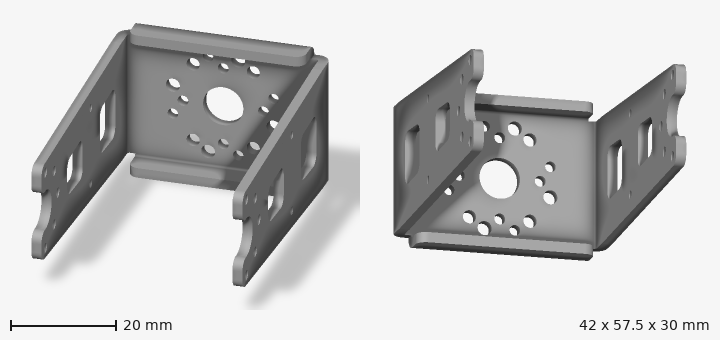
import cadquery as cq
import math

WIDTH = 42.0
LENGTH = 57.5
HEIGHT = 30.0

SHEET = 2.0
BEND_INNER = 0.49
BEND_OUTER = BEND_INNER + SHEET

WEB_HEIGHT = HEIGHT - 2 * BEND_OUTER
WEB_BORE = 8.0

INNER_CIRCLE_RADIUS = 8.0
INNER_HOLE = 2.1
DIAGONAL_X = 6.0
DIAGONAL_Z = 8.0
DIAGONAL_HOLE = 2.6
OUTER_LONG = 10.0
OUTER_SHORT = 3.0
CLEARANCE_HOLE = 2.75
TAPPED_HOLE = 2.05

LIP_WIDTH = 34.95
LIP_DEPTH = 7.0
CORNER_RADIUS = 2.0

TAPER_START = 6.0
TIP_HALF_HEIGHT = 10.0
TAPER_END = LENGTH - CORNER_RADIUS
TAPER_SLOPE = (WEB_HEIGHT / 2 - TIP_HALF_HEIGHT) / (TAPER_END - TAPER_START)

NOTCH_CENTER = 55.0
NOTCH_RADIUS = 4.0
HORN_CIRCLE_RADIUS = 8.0
HORN_HOLE = 2.0
HORN_ANGLES = (90, 135, 180, 225, 270)

WINDOW_LENGTH = 10.0
WINDOW_STARTS = (10.0, 31.0)
WINDOW_MARGIN = 7.0
ARM_TAPPED_DISTANCE = 25.8
ARM_TAPPED_SPREAD = 16.0
ARM_TAPPED_HOLE = 1.6

BACK_Y = LENGTH / 2


def bent_channel(span, height, depth):
    """Channel section, closed at the back: span across, depth along -Y, extruded to height."""
    outer = (
        cq.Workplane("XY")
        .box(span, depth, height)
        .edges("|Z and >Y")
        .fillet(BEND_OUTER)
    )
    inner = (
        cq.Workplane("XY")
        .box(span - 2 * SHEET, depth, height)
        .edges("|Z and >Y")
        .fillet(BEND_INNER)
        .translate((0, -SHEET, 0))
    )
    return outer.cut(inner).translate((0, BACK_Y - depth / 2, 0))


def arm_half_height(distance):
    """Half height of the tapered arm at a distance from the back of the web."""
    return WEB_HEIGHT / 2 - TAPER_SLOPE * (distance - TAPER_START)


def arm_prism(profile):
    """Extrude a (distance, height) outline through both arms."""
    return (
        cq.Workplane("YZ")
        .polyline([(BACK_Y - distance, z) for distance, z in profile])
        .close()
        .extrude(WIDTH / 2, both=True)
    )


def arm_outline():
    """Tapered side outline with a round-bottomed notch between two rounded tips."""
    tip = arm_half_height(LENGTH)
    half = WEB_HEIGHT / 2
    blank = arm_prism(
        [
            (0, half),
            (TAPER_START, half),
            (LENGTH, tip),
            (LENGTH, -tip),
            (TAPER_START, -half),
            (0, -half),
        ]
    )
    notch_round = arm_holes([(NOTCH_CENTER, 0)], 2 * NOTCH_RADIUS)
    notch_mouth = arm_prism(
        [
            (NOTCH_CENTER, NOTCH_RADIUS),
            (LENGTH, NOTCH_RADIUS),
            (LENGTH, -NOTCH_RADIUS),
            (NOTCH_CENTER, -NOTCH_RADIUS),
        ]
    )
    return blank.cut(notch_round).cut(notch_mouth).edges("|X and <Y").fillet(CORNER_RADIUS)


def arm_window(start):
    """Rounded window whose long edges follow the taper of the arm."""
    end = start + WINDOW_LENGTH
    near = arm_half_height(start) - WINDOW_MARGIN
    far = arm_half_height(end) - WINDOW_MARGIN
    window = arm_prism([(start, near), (end, far), (end, -far), (start, -near)])
    return window.edges("|X").fillet(CORNER_RADIUS)


def arm_holes(points, diameter):
    """Round cutters through both arms at (distance, height) points."""
    return (
        cq.Workplane("YZ")
        .pushPoints([(BACK_Y - distance, z) for distance, z in points])
        .circle(diameter / 2)
        .extrude(WIDTH / 2, both=True)
    )


def web_holes(points, diameter):
    """Round cutters through the web at (x, z) points."""
    return (
        cq.Workplane("XZ", origin=(0, BACK_Y, 0))
        .pushPoints(points)
        .circle(diameter / 2)
        .extrude(SHEET)
    )


def lips():
    """Web centre with its two bent lips, free corners rounded."""
    channel = bent_channel(HEIGHT, LIP_WIDTH, LIP_DEPTH).rotate((0, 0, 0), (0, 1, 0), 90)
    return channel.edges("|Z and <Y").fillet(CORNER_RADIUS)


def horn_seat_holes():
    """Screw holes on the half circle around the notch, on the side of the web."""
    points = []
    for angle in HORN_ANGLES:
        radians = math.radians(angle)
        distance = NOTCH_CENTER + HORN_CIRCLE_RADIUS * math.cos(radians)
        points.append((distance, HORN_CIRCLE_RADIUS * math.sin(radians)))
    return arm_holes(points, HORN_HOLE)


def arm_tapped_holes():
    """Tapped pair between the two windows of each arm."""
    points = [(ARM_TAPPED_DISTANCE, side * ARM_TAPPED_SPREAD / 2) for side in (-1, 1)]
    return arm_holes(points, ARM_TAPPED_HOLE)


def web_openings():
    """Central bore and the bolt holes around it."""
    reach = INNER_CIRCLE_RADIUS
    inner = [(reach, 0), (0, reach), (-reach, 0), (0, -reach)]
    diagonal = [(i * DIAGONAL_X, k * DIAGONAL_Z) for i in (-1, 1) for k in (-1, 1)]
    clearance = []
    tapped = []
    for side in (-1, 1):
        clearance.append((side * OUTER_SHORT, side * OUTER_LONG))
        clearance.append((side * OUTER_LONG, -side * OUTER_SHORT))
        tapped.append((-side * OUTER_SHORT, side * OUTER_LONG))
        tapped.append((side * OUTER_LONG, side * OUTER_SHORT))
    return (
        web_holes([(0, 0)], WEB_BORE)
        .add(web_holes(inner, INNER_HOLE))
        .add(web_holes(diagonal, DIAGONAL_HOLE))
        .add(web_holes(clearance, CLEARANCE_HOLE))
        .add(web_holes(tapped, TAPPED_HOLE))
        .combine()
    )


result = bent_channel(WIDTH, WEB_HEIGHT, LENGTH).intersect(arm_outline()).union(lips())

for window_start in WINDOW_STARTS:
    result = result.cut(arm_window(window_start))
result = result.cut(horn_seat_holes()).cut(arm_tapped_holes())

result = result.cut(web_openings())